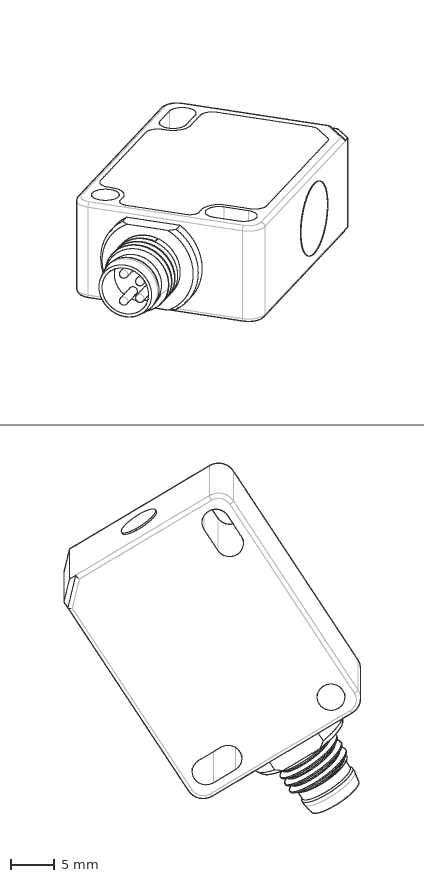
import cadquery as cq
import math


HOUSING_WIDTH = 23.0
HOUSING_LENGTH = 31.0
HOUSING_HEIGHT = 12.0
CORNER_RADIUS = 2.0
EDGE_FILLET = 0.5
HALF_WIDTH = HOUSING_WIDTH / 2
HALF_HEIGHT = HOUSING_HEIGHT / 2

CORNER_CUT = 2.85
PAD_CORNER_CUT = 2.0
PAD_EDGE_DEPTH = 0.4

SIDE_DISC_HEIGHT = 0.1
SIDE_DISC_DIAMETER = 8.75
SIDE_DISC_Y = 17.95
END_DISC_HEIGHT = 0.2
END_DISC_DIAMETER = 4.67

HOLE_DIAMETER = 3.2
HOLE_RADIUS = HOLE_DIAMETER / 2
HOLE_INSET = 3.02
SLOT_TRAVEL = 3.0
HOLE_X = HALF_WIDTH - HOLE_INSET
SLOT_LENGTH = HOLE_DIAMETER + SLOT_TRAVEL

COVER_THICKNESS = 0.5
COVER_LEFT_GAP = 1.05
COVER_RIGHT_GAP = 1.55
COVER_FRONT_GAP = 1.05
COVER_BACK_GAP = 1.37
COVER_CORNER_CUT = 2.65
COVER_HOLE_WALL = 0.55
COVER_CORNER_RADIUS = 1.5
COVER_FRONT_RADIUS = 1.1
COVER_CUT_RADIUS = 1.0

CONNECTOR_X = -1.45
CONNECTOR_LENGTH = 9.1
FLANGE_DIAMETER = 12.0
FLANGE_FLATS = 10.05
FLANGE_LENGTH = 1.85
FLANGE_CHAMFER_LENGTH = 0.6
FLANGE_CHAMFER_DEPTH = 0.4
THREAD_DIAMETER = 8.0
THREAD_PITCH = 1.0
THREAD_END = 6.05
THREAD_CHAMFER_LENGTH = 0.35
GROOVE_START = 2.3
GROOVE_START_ANGLE = 72.0
GROOVE_DEPTH = 0.6
GROOVE_ANGLE = 60.0
CREST_FLAT = 0.15
NECK_DIAMETER = 6.6
SNAP_RING_DIAMETER = 6.97
SNAP_RING_START = 7.15
SNAP_RING_FULL = 7.37
SNAP_RING_END = 7.85
TIP_DIAMETER = 6.5
SOCKET_DIAMETER = 5.72
SOCKET_DEPTH = 4.0

PIN_DIAMETER = 1.0
PIN_TIP_INSET = 0.4
INNER_PIN_X = -0.52
INNER_PIN_Z = 1.7
OUTER_PIN_X = 1.45
OUTER_PIN_Z = 1.05


def corner_pad():
    """Prism that fills the housing corner out to the smaller corner cut."""
    outline = [
        (HALF_WIDTH - CORNER_CUT, HOUSING_LENGTH - CORNER_CUT),
        (HALF_WIDTH, HOUSING_LENGTH - CORNER_CUT),
        (HALF_WIDTH, HOUSING_LENGTH - PAD_CORNER_CUT),
        (HALF_WIDTH - PAD_CORNER_CUT, HOUSING_LENGTH),
        (HALF_WIDTH - CORNER_CUT, HOUSING_LENGTH),
    ]
    pad_half_height = HALF_HEIGHT - PAD_EDGE_DEPTH
    return cq.Workplane("XY").polyline(outline).close().extrude(pad_half_height, both=True)


def sensing_discs():
    """Thin round discs on the +X and +Y faces."""
    side = (
        cq.Workplane("YZ", origin=(HALF_WIDTH, SIDE_DISC_Y, 0))
        .circle(SIDE_DISC_DIAMETER / 2)
        .extrude(SIDE_DISC_HEIGHT)
    )
    end = (
        cq.Workplane("XZ", origin=(0, HOUSING_LENGTH, 0))
        .circle(END_DISC_DIAMETER / 2)
        .extrude(-END_DISC_HEIGHT)
    )
    return side, end


def mounting_holes():
    """Cutters for the round hole and the two slots through the housing."""
    plane = cq.Workplane("XY", origin=(0, 0, -HALF_HEIGHT))
    hole = plane.center(-HOLE_X, HOLE_INSET).circle(HOLE_RADIUS).extrude(HOUSING_HEIGHT)
    front_slot = (
        plane.center(HOLE_X - SLOT_TRAVEL / 2, HOLE_INSET)
        .slot2D(SLOT_LENGTH, HOLE_DIAMETER)
        .extrude(HOUSING_HEIGHT)
    )
    back_slot = (
        plane.center(-HOLE_X, HOUSING_LENGTH - HOLE_INSET - SLOT_TRAVEL / 2)
        .slot2D(SLOT_LENGTH, HOLE_DIAMETER, 90)
        .extrude(HOUSING_HEIGHT)
    )
    return hole, front_slot, back_slot


def make_cover():
    """Flush plate that steps around the three mounting holes."""
    left = -HALF_WIDTH + COVER_LEFT_GAP
    right = HALF_WIDTH - COVER_RIGHT_GAP
    front = COVER_FRONT_GAP
    back = HOUSING_LENGTH - COVER_BACK_GAP
    notch_radius = HOLE_RADIUS + COVER_HOLE_WALL
    notch_left = -HOLE_X + notch_radius
    notch_right = HOLE_X - SLOT_TRAVEL - notch_radius
    notch_front = HOLE_INSET + notch_radius
    notch_back = HOUSING_LENGTH - HOLE_INSET - SLOT_TRAVEL - notch_radius

    corners = [
        (notch_left, front, COVER_FRONT_RADIUS),
        (notch_right, front, COVER_FRONT_RADIUS),
        (notch_right, notch_front, notch_radius),
        (right, notch_front, COVER_CORNER_RADIUS),
        (right, back - COVER_CORNER_CUT, COVER_CUT_RADIUS),
        (right - COVER_CORNER_CUT, back, COVER_CUT_RADIUS),
        (notch_left, back, COVER_CORNER_RADIUS),
        (notch_left, notch_back, notch_radius),
        (left, notch_back, COVER_CORNER_RADIUS),
        (left, notch_front, COVER_CORNER_RADIUS),
        (notch_left, notch_front, notch_radius),
    ]
    plate = (
        cq.Workplane("XY", origin=(0, 0, HALF_HEIGHT - COVER_THICKNESS))
        .polyline([(x, y) for x, y, _ in corners])
        .close()
        .extrude(COVER_THICKNESS)
    )
    for x, y, radius in corners:
        corner_edge = cq.selectors.NearestToPointSelector((x, y, HALF_HEIGHT - COVER_THICKNESS / 2))
        plate = plate.edges("|Z").edges(corner_edge).fillet(radius)
    return plate


def make_housing(cover):
    """Rounded block with one cut-off corner, mounting holes and a seat for the cover."""
    block = cq.Workplane("XY").box(HOUSING_WIDTH, HOUSING_LENGTH, HOUSING_HEIGHT)
    block = block.translate((0, HOUSING_LENGTH / 2, 0))
    block = block.edges("|Z and (<X or <Y)").fillet(CORNER_RADIUS)
    block = block.edges("|Z and >X and >Y").chamfer(CORNER_CUT)
    block = block.faces("<Z or >Z").edges().fillet(EDGE_FILLET)
    block = block.union(corner_pad())
    for disc in sensing_discs():
        block = block.union(disc)
    for cutter in mounting_holes():
        block = block.cut(cutter)
    return block.cut(cover)


def thread_groove():
    """Helical V groove around +Z that starts between the +X and +Y sides."""
    outer_radius = THREAD_DIAMETER / 2
    root_radius = outer_radius - GROOVE_DEPTH
    clear_radius = outer_radius + CREST_FLAT / 2
    slope = math.tan(math.radians(GROOVE_ANGLE / 2))
    crest_half_width = (THREAD_PITCH - CREST_FLAT) / 2
    root_half_width = crest_half_width - GROOVE_DEPTH * slope
    clear_half_width = crest_half_width + (clear_radius - outer_radius) * slope
    groove_length = THREAD_END + THREAD_PITCH - GROOVE_START

    path = cq.Wire.makeHelix(THREAD_PITCH, groove_length, root_radius)
    profile = [
        (root_radius, -root_half_width),
        (clear_radius, -clear_half_width),
        (clear_radius, clear_half_width),
        (root_radius, root_half_width),
    ]
    groove = cq.Workplane("XZ").polyline(profile).close().sweep(cq.Workplane(path), isFrenet=True)
    return groove.rotate((0, 0, 0), (0, 0, 1), GROOVE_START_ANGLE).translate((0, 0, GROOVE_START))


def threaded_section():
    """Thread between the flange and the neck, with a tapered end."""
    thread_radius = THREAD_DIAMETER / 2
    blank = cq.Workplane("XY").circle(thread_radius).extrude(THREAD_END + THREAD_PITCH)
    envelope = [
        (0, 0),
        (thread_radius, 0),
        (thread_radius, THREAD_END - THREAD_CHAMFER_LENGTH),
        (NECK_DIAMETER / 2, THREAD_END),
        (0, THREAD_END),
    ]
    tapered_end = cq.Workplane("XZ").polyline(envelope).close().revolve(360, (0, 0), (0, 1))
    return blank.cut(thread_groove()).intersect(tapered_end)


def make_connector():
    """Flanged, threaded plug body, turned around +Z and then laid along -Y."""
    flange_radius = FLANGE_DIAMETER / 2
    neck_radius = NECK_DIAMETER / 2
    ring_radius = SNAP_RING_DIAMETER / 2
    profile = [
        (0, 0),
        (flange_radius, 0),
        (flange_radius, FLANGE_LENGTH - FLANGE_CHAMFER_LENGTH),
        (flange_radius - FLANGE_CHAMFER_DEPTH, FLANGE_LENGTH),
        (neck_radius, FLANGE_LENGTH),
        (neck_radius, SNAP_RING_START),
        (ring_radius, SNAP_RING_FULL),
        (ring_radius, SNAP_RING_END),
        (TIP_DIAMETER / 2, CONNECTOR_LENGTH),
        (0, CONNECTOR_LENGTH),
    ]
    body = cq.Workplane("XZ").polyline(profile).close().revolve(360, (0, 0), (0, 1))
    flats = cq.Workplane("XY").rect(FLANGE_DIAMETER, FLANGE_FLATS).extrude(CONNECTOR_LENGTH)
    body = body.intersect(flats).union(threaded_section())
    body = body.faces(">Z").workplane().circle(SOCKET_DIAMETER / 2).cutBlind(-SOCKET_DEPTH)
    return body.rotate((0, 0, 0), (1, 0, 0), 90).translate((CONNECTOR_X, 0, 0))


def make_pin(x, z):
    """Round contact with a domed tip, standing on the socket floor."""
    pin_length = SOCKET_DEPTH - PIN_TIP_INSET
    floor_y = SOCKET_DEPTH - CONNECTOR_LENGTH
    dome = cq.Workplane("XY").sphere(PIN_DIAMETER / 2).translate((0, PIN_DIAMETER / 2 - pin_length, 0))
    shank = cq.Workplane("XZ").circle(PIN_DIAMETER / 2).extrude(pin_length - PIN_DIAMETER / 2)
    pin = shank.union(dome)
    return pin.translate((CONNECTOR_X + x, floor_y, z))


cover = make_cover()
housing = make_housing(cover)
connector = make_connector()

pins = []
for x, z in [(INNER_PIN_X, INNER_PIN_Z), (OUTER_PIN_X, OUTER_PIN_Z)]:
    for side in (1, -1):
        pins.append(make_pin(x, side * z).val())

result = cq.Compound.makeCompound([housing.val(), cover.val(), connector.val(), *pins])